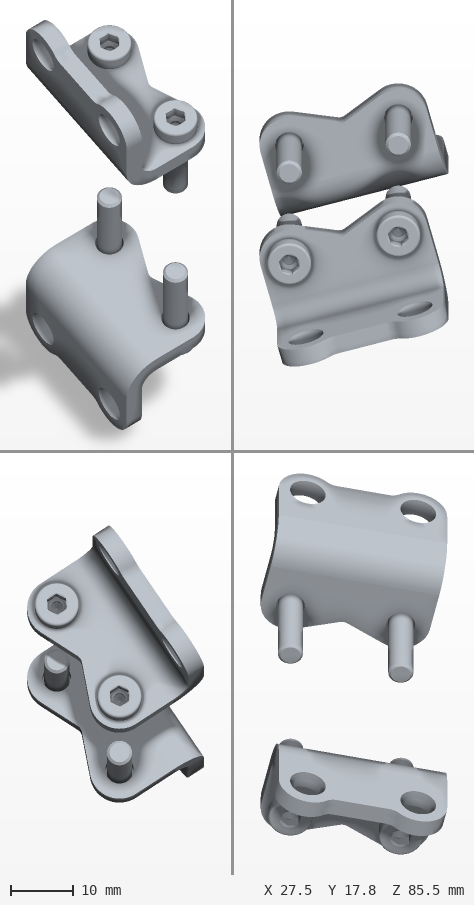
import cadquery as cq
import math

total_height = 85.5
bracket_width = 27.5
leg_length = 17.8
plate_thickness = 3.0

bend_inner_radius = 3.0
bend_outer_radius = bend_inner_radius + plate_thickness

hole_spacing = 18.0
hole_x = hole_spacing / 2
lobe_radius = (bracket_width - hole_spacing) / 2
hole_offset = leg_length - lobe_radius

mounting_hole_diameter = 5.8
recess_half_width = 4.3
recess_blend_radius = 2.5
lobe_blend_distance = lobe_radius + recess_blend_radius
recess_blend_center = hole_offset + math.sqrt(
    lobe_blend_distance**2 - (hole_x - recess_half_width) ** 2
)
recess_floor = recess_blend_center - recess_blend_radius

clearance_hole_diameter = 4.5
notch_slope = math.radians(23)
notch_bottom_radius = 1.5

shank_diameter = 4.0
shank_length = 16.0
shank_tip_chamfer = 0.4
head_diameter = 7.0
head_height = 2.8
head_edge_radius = 0.4
hex_across_flats = 3.0
hex_depth = 2.0
hex_half_turn = 30
hex_across_corners = hex_across_flats / math.cos(math.radians(hex_half_turn))
pilot_diameter = 2.0
pilot_depth = 3.0
drill_point_half_angle = math.radians(45)
mouth_half_angle = math.radians(60)


def point_on_circle(center_x, center_y, radius, angle):
    """Point on a circle at an angle measured from +X."""
    return center_x + radius * math.cos(angle), center_y + radius * math.sin(angle)


def mirrored(point):
    """Mirror a profile point across the centre line of the bracket."""
    return -point[0], point[1]


def bent_strip():
    """L-shaped strip: a flat leg along +Y, a bend along the X axis and a leg along +Z."""
    return (
        cq.Workplane("YZ", origin=(-bracket_width / 2, 0, 0))
        .moveTo(leg_length, 0)
        .lineTo(bend_outer_radius, 0)
        .radiusArc((0, bend_outer_radius), bend_outer_radius)
        .lineTo(0, leg_length)
        .lineTo(plate_thickness, leg_length)
        .lineTo(plate_thickness, bend_outer_radius)
        .radiusArc((bend_outer_radius, plate_thickness), -bend_inner_radius)
        .lineTo(leg_length, plate_thickness)
        .close()
        .extrude(bracket_width)
    )


def wall_leg_outline():
    """Front outline of the bracket: two lobes joined by a recess with blended ends."""
    side = bracket_width / 2
    blend_angle = math.atan2(recess_blend_center - hole_offset, recess_half_width - hole_x)
    lobe_end = point_on_circle(hole_x, hole_offset, lobe_radius, blend_angle)
    lobe_middle = point_on_circle(hole_x, hole_offset, lobe_radius, blend_angle / 2)
    recess_end = (recess_half_width, recess_floor)
    return (
        cq.Workplane("XZ")
        .moveTo(-side, 0)
        .lineTo(side, 0)
        .lineTo(side, hole_offset)
        .threePointArc(lobe_middle, lobe_end)
        .radiusArc(recess_end, recess_blend_radius)
        .lineTo(*mirrored(recess_end))
        .radiusArc(mirrored(lobe_end), recess_blend_radius)
        .threePointArc(mirrored(lobe_middle), (-side, hole_offset))
        .close()
        .extrude(-leg_length)
    )


def screw_leg_outline():
    """Plan outline of the bracket: two lobes joined by a V notch with a rounded bottom."""
    side = bracket_width / 2
    lobe_end_angle = math.pi / 2 + notch_slope
    lobe_end = point_on_circle(hole_x, hole_offset, lobe_radius, lobe_end_angle)
    lobe_middle = point_on_circle(hole_x, hole_offset, lobe_radius, lobe_end_angle / 2)
    notch_bottom = (0, lobe_end[1] - lobe_end[0] * math.tan(notch_slope))
    return (
        cq.Workplane("XY")
        .moveTo(-side, 0)
        .lineTo(side, 0)
        .lineTo(side, hole_offset)
        .threePointArc(lobe_middle, lobe_end)
        .lineTo(*notch_bottom)
        .lineTo(*mirrored(lobe_end))
        .threePointArc(mirrored(lobe_middle), (-side, hole_offset))
        .close()
        .extrude(leg_length)
        .edges(cq.selectors.NearestToPointSelector((*notch_bottom, leg_length / 2)))
        .fillet(notch_bottom_radius)
    )


def make_bracket():
    """Angle bracket with its screw leg flat at Z = 0 and its wall leg rising at Y = 0."""
    hole_centers = [(-hole_x, hole_offset), (hole_x, hole_offset)]
    mounting_holes = (
        cq.Workplane("XZ")
        .pushPoints(hole_centers)
        .circle(mounting_hole_diameter / 2)
        .extrude(-plate_thickness)
    )
    clearance_holes = (
        cq.Workplane("XY")
        .pushPoints(hole_centers)
        .circle(clearance_hole_diameter / 2)
        .extrude(plate_thickness)
    )
    return (
        bent_strip()
        .intersect(wall_leg_outline())
        .intersect(screw_leg_outline())
        .cut(mounting_holes)
        .cut(clearance_holes)
    )


def make_socket():
    """Hexagon socket with a countersunk mouth and a conical floor leading into a drilled pilot."""
    pilot_radius = pilot_diameter / 2
    corner_radius = hex_across_corners / 2
    hex_floor = head_height - hex_depth
    pilot_floor = head_height - pilot_depth
    floor_slope = math.tan(drill_point_half_angle)
    hex_prism = (
        cq.Workplane("XY", origin=(0, 0, hex_floor))
        .polygon(6, hex_across_corners)
        .extrude(hex_depth)
        .rotate((0, 0, 0), (0, 0, 1), hex_half_turn)
    )
    mouth = (
        cq.Workplane("XZ")
        .moveTo(0, head_height)
        .lineTo(corner_radius, head_height)
        .lineTo(0, head_height - corner_radius / math.tan(mouth_half_angle))
        .close()
        .revolve(360, (0, 0, 0), (0, 1, 0))
    )
    floor_and_pilot = (
        cq.Workplane("XZ")
        .moveTo(0, hex_floor)
        .lineTo(hex_across_flats / 2, hex_floor)
        .lineTo(pilot_radius, hex_floor - (hex_across_flats / 2 - pilot_radius) / floor_slope)
        .lineTo(pilot_radius, pilot_floor)
        .lineTo(0, pilot_floor - pilot_radius / floor_slope)
        .close()
        .revolve(360, (0, 0, 0), (0, 1, 0))
    )
    return hex_prism.union(mouth).union(floor_and_pilot)


def make_screw():
    """Low-head socket screw with the underside of its head at Z = 0 and its shank below."""
    head = (
        cq.Workplane("XY")
        .circle(head_diameter / 2)
        .extrude(head_height)
        .faces("<Z or >Z")
        .edges()
        .fillet(head_edge_radius)
    )
    shank = (
        cq.Workplane("XY")
        .circle(shank_diameter / 2)
        .extrude(-shank_length)
        .faces("<Z")
        .chamfer(shank_tip_chamfer)
    )
    return head.union(shank).cut(make_socket())


upper_z = total_height - leg_length
upper_bodies = [make_bracket().translate((0, 0, upper_z))]
for screw_x in (-hole_x, hole_x):
    upper_bodies.append(make_screw().translate((screw_x, hole_offset, upper_z + plate_thickness)))

lower_bodies = [body.mirror("XY", (0, 0, total_height / 2)) for body in upper_bodies]

result = cq.Compound.makeCompound([body.val() for body in upper_bodies + lower_bodies])